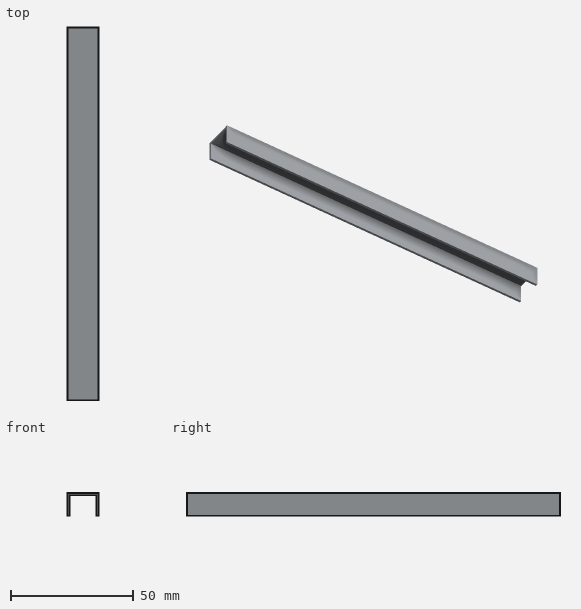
import cadquery as cq

length = 152.4
width = 12.8
height = 9.5
wall = 1.0

outer = cq.Workplane("XY").box(width, length, height)
cavity = (
    cq.Workplane("XY")
    .box(width - 2 * wall, length, height - wall)
    .translate((0, 0, -wall / 2))
)

result = outer.cut(cavity)